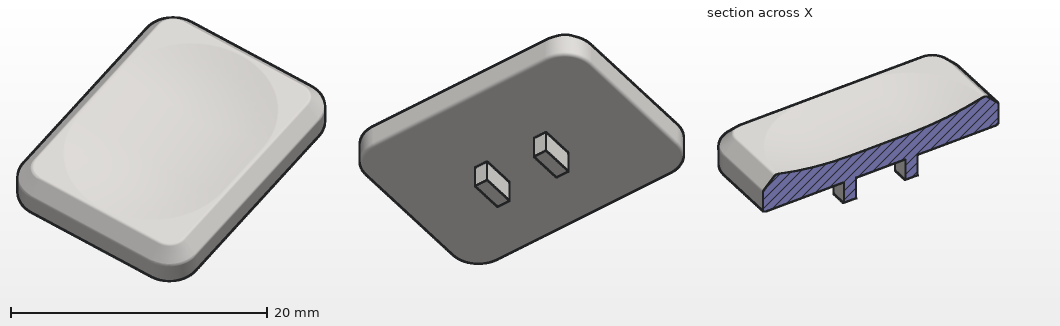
import cadquery as cq

width = 16.5
length = 21.88
body_height = 3.24
corner_radius = 2.54
bevel = 1.15
edge_radius = 0.3
selection_margin = 0.02

dish_width = 13.65
dish_straight = 5.35
dish_depth = 0.85
rim_radius = edge_radius

leg_width = 2.98
leg_thickness = 1.18
leg_height = 1.97
leg_spacing = 5.7


def make_body():
    """Rounded block with a bevelled top and softened edges."""
    block = cq.Workplane("XY").box(width, length, body_height, centered=(True, True, False))
    block = block.edges("|Z").fillet(corner_radius)
    block = block.faces(">Z").edges().chamfer(bevel)
    block = block.faces("<Z").edges().fillet(edge_radius)
    bevel_bottom = body_height - bevel
    edge_band = cq.selectors.BoxSelector(
        (-width, -length, bevel_bottom - selection_margin),
        (width, length, bevel_bottom + selection_margin),
    )
    block = block.edges(edge_band).fillet(edge_radius)
    return block.faces(">Z").edges().fillet(edge_radius)


def make_dish():
    """Cutter for the finger dish, its flat side level with the body top."""
    half_width = dish_width / 2
    arc_radius = (half_width**2 + dish_depth**2) / (2 * dish_depth)
    middle_x = half_width / 2
    middle_z = arc_radius - dish_depth - (arc_radius**2 - middle_x**2) ** 0.5
    cap = (
        cq.Workplane("XZ")
        .lineTo(half_width, 0)
        .threePointArc((middle_x, middle_z), (0, -dish_depth))
        .close()
        .revolve(360, (0, 0), (0, 1))
    )
    trough = (
        cq.Workplane("XZ")
        .moveTo(-half_width, 0)
        .threePointArc((0, -dish_depth), (half_width, 0))
        .close()
        .extrude(dish_straight / 2, both=True)
    )
    dish = trough
    for side in (-1, 1):
        dish = dish.union(cap.translate((0, side * dish_straight / 2, 0)))
    return dish.translate((0, 0, body_height))


def make_legs():
    """Pair of rectangular legs, spaced along Y."""
    return (
        cq.Workplane("XY")
        .rarray(0.22, leg_spacing, 1, 2)
        .rect(leg_width, leg_thickness)
        .extrude(-leg_height)
    )


def round_rim(body):
    """Soften the edge where the dish meets the flat top."""
    reach_x = dish_width / 2 + selection_margin
    reach_y = (dish_width + dish_straight) / 2 + selection_margin
    rim = cq.selectors.BoxSelector(
        (-reach_x, -reach_y, body_height - selection_margin),
        (reach_x, reach_y, body_height + selection_margin),
    )
    return body.faces(">Z").edges(rim).fillet(rim_radius)


dished_body = round_rim(make_body().cut(make_dish()))
result = dished_body.union(make_legs())